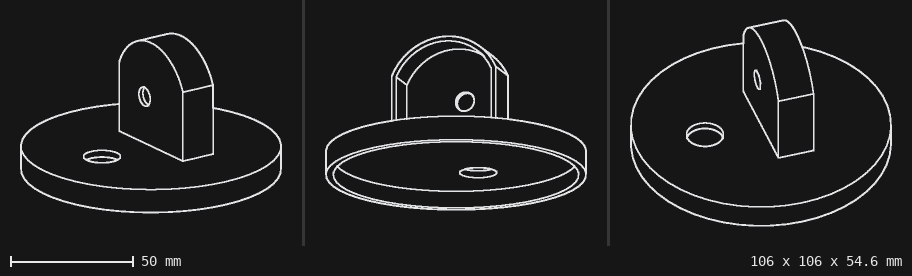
import cadquery as cq

base_diameter = 106.0
base_height = 10.0
recess_diameter = 100.0
top_wall = 3.0

lug_width = 45.0
lug_thickness = 15.0
lug_height = 44.6
lug_shoulder_height = 29.8
lug_wall = 2.0

lug_hole_diameter = 8.0
lug_hole_x = -4.6
lug_hole_height = 20.0

base_hole_diameter = 15.0
base_hole_x = -1.2
base_hole_y = -23.6

crown_rise = lug_height - lug_shoulder_height
crown_radius = ((lug_width / 2) ** 2 + crown_rise**2) / (2 * crown_rise)
crown_center_height = lug_height - crown_radius


def make_base():
    disc = cq.Workplane("XY").circle(base_diameter / 2).extrude(base_height)
    recess = cq.Workplane("XY").circle(recess_diameter / 2).extrude(base_height - top_wall)
    hole = (
        cq.Workplane("XY")
        .center(base_hole_x, base_hole_y)
        .circle(base_hole_diameter / 2)
        .extrude(base_height)
    )
    return disc.cut(recess).cut(hole)


def lug_plane(front_y):
    """Plane facing -Y at the top of the base; negative extrusions run toward +Y."""
    return cq.Workplane("XZ", origin=(0, front_y, base_height))


def make_arched_block(inset, front_y):
    """Straight-sided block with a round crown, inset from the lug's outline, ending at its back."""
    half_width = lug_width / 2 - inset
    radius = crown_radius - inset
    shoulder_height = crown_center_height + (radius**2 - half_width**2) ** 0.5
    return (
        lug_plane(front_y)
        .moveTo(-half_width, 0)
        .lineTo(half_width, 0)
        .lineTo(half_width, shoulder_height)
        .threePointArc((0, lug_height - inset), (-half_width, shoulder_height))
        .close()
        .extrude(front_y - lug_thickness)
    )


def make_lug():
    outside = make_arched_block(inset=0, front_y=0)
    inside = make_arched_block(inset=lug_wall, front_y=lug_wall)
    hole = (
        lug_plane(front_y=0)
        .center(lug_hole_x, lug_hole_height)
        .circle(lug_hole_diameter / 2)
        .extrude(-lug_wall)
    )
    return outside.cut(inside).cut(hole)


result = make_base().union(make_lug())